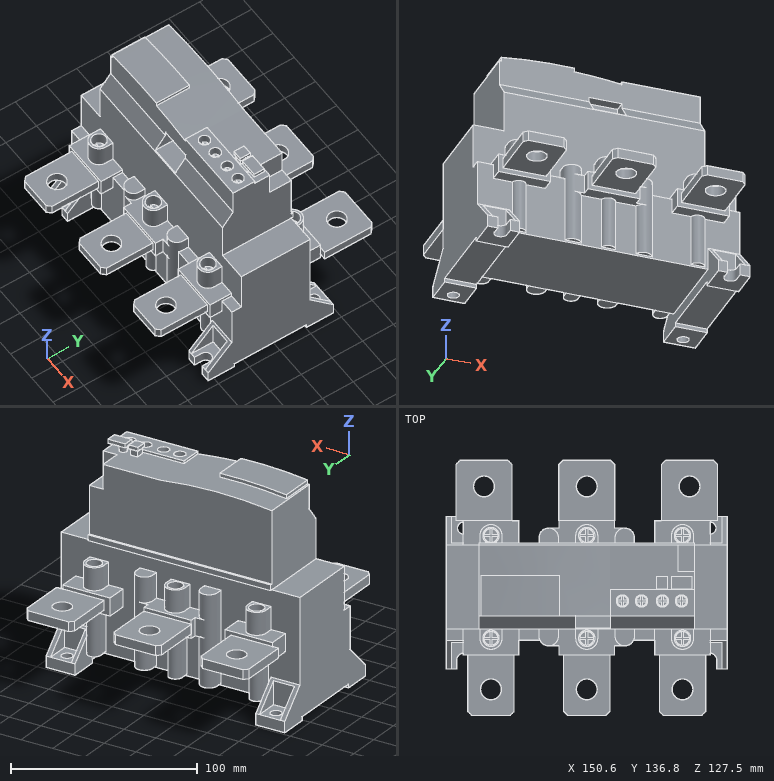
import cadquery as cq
import math


WIDTH = 150.6
DEPTH = 136.8
HEIGHT = 127.55
OVERLAP = 1.0

BACK_WALL_Y = 22.9
FRONT_WALL_Y = -21.9
MID_Y = (BACK_WALL_Y + FRONT_WALL_Y) / 2
STEP_Y = -28.1
STEP_Z = 48.2
SHOULDER_Z = 74.3
CORE_BOTTOM_Z = 9.1

FLANK_WIDTH = 18.3
FOOT_TOP_Z = 6.8
FOOT_SLOPE = 15.35
FOOT_BACK_Y = BACK_WALL_Y + FOOT_SLOPE
FOOT_FRONT_Y = STEP_Y - FOOT_SLOPE
ARCH_BACK_Y = 20.5
ARCH_FRONT_Y = -26.3
ARCH_HEIGHT = 2.3
FOOT_POCKET_WIDTH = 13.1
FOOT_POCKET_INSET = 1.1
FOOT_HOLE_X = 65.9
FOOT_HOLE_Y = 32.0
FOOT_HOLE_RADIUS = 3.2
FOOT_SLOT_Y = -38.6
FOOT_SLOT_RADIUS = 3.6

UPPER_WIDTH = 115.2
DECK_Z = 121.4
BROW_Y = -15.0
SLOPE_BOTTOM_Z = 98.2
SLOPE_TOP_Z = 106.7
BACK_LIP_HEIGHT = 3.4
BACK_LIP_DEPTH = 1.2

COVER_RIGHT_X = 12.7
COVER_RISE = 2.25
PLATE_LEFT_X = -56.5
PLATE_RIGHT_X = -14.5
PLATE_BACK_Y = 6.5
PLATE_THICKNESS = 2.25

RECESS_LEFT_X = -6.1
RECESS_BACK_Y = -8.5
RECESS_BOTTOM_Z = 98.6
RECESS_TOP_Z = 109.4

NOTCH_LEFT_X = 48.9
NOTCH_FRONT_Y = 8.8

STRIP_BACK_Y = -0.9
STRIP_Z = 123.0
STRIP_HOLE_XS = (19.1, 29.3, 40.5, 50.7)
STRIP_HOLE_Y = -7.0
STRIP_HOLE_RADIUS = 3.3
STRIP_SCREW_RADIUS = 2.8
STRIP_HOLE_DEPTH = 8.0

BUTTON_BACK_Y = 6.1
BUTTON_FRONT_Y = -0.5
BUTTON_HEAD_THICKNESS = 2.4
SMALL_BUTTON_LEFT_X = 37.4
SMALL_BUTTON_RIGHT_X = 43.3
SMALL_STEM_INSET = 0.7
LARGE_BUTTON_LEFT_X = 45.4
LARGE_BUTTON_RIGHT_X = 56.4
LARGE_STEM_X = 48.7
LARGE_STEM_RADIUS = 2.25

POLE_PITCH = 51.25
BLOCK_WIDTH = 29.8
BLOCK_REACH = 36.0
BLOCK_BOTTOM_Z = 39.7
BLOCK_TOP_Z = 50.5
LUG_BOTTOM_Z = 42.4
LUG_TOP_Z = 48.2
LUG_CHAMFER = 2.3
LUG_HOLE_RADIUS = 5.5
LUG_HOLE_Y = 54.3
FRONT_LUG_WIDTH = 24.9
BACK_LUG_WIDTH = 30.0
BACK_LUG_PITCH = 55.0
TOWER_OFFSET = 27.5
TOWER_RADIUS = 5.9
TOWER_TOP_Z = 64.2
TOWER_BORE_RADIUS = 4.4
TOWER_BORE_DEPTH = 10.0
POLE_SCREW_RADIUS = 3.7
PIN_RADIUS = 4.1
RIB_BOTTOM_Z = 10.2

SCREW_HEAD_HEIGHT = 3.0
SCREW_SLOT_WIDTH = 1.1
SCREW_SLOT_DEPTH = 1.5

COLUMN_X = 20.35
COLUMN_RADIUS = 5.2
COLUMN_OFFSET = 26.35
FRONT_COLUMN_TOP_Z = 56.1
BACK_COLUMN_TOP_Z = 65.8


def box(x0, x1, y0, y1, z0, z1):
    """Box between two opposite corners."""
    return cq.Workplane("XY").box(x1 - x0, y1 - y0, z1 - z0, centered=False).translate((x0, y0, z0))


def cylinder(x, y, radius, z0, z1):
    """Upright cylinder from z0 to z1."""
    return cq.Workplane("XY").workplane(offset=z0).center(x, y).circle(radius).extrude(z1 - z0)


def side_profile(points, x0, x1):
    """Closed (y, z) outline swept along X from x0 to x1."""
    return cq.Workplane("YZ").polyline(points).close().extrude(x1 - x0).translate((x0, 0, 0))


def wall_column(x, side, offset, radius, z0, z1):
    """Upright half-round column whose flat sides run back into the housing; side is +1 back, -1 front."""
    y = MID_Y + side * offset
    wall_y = MID_Y + side * ((BACK_WALL_Y - FRONT_WALL_Y) / 2 - OVERLAP)
    web = box(x - radius, x + radius, min(y, wall_y), max(y, wall_y), z0, z1)
    return web.union(cylinder(x, y, radius, z0, z1))


def screw_well(x, y, radius, head_radius, depth, top_z):
    """Cutter for a blind bore that leaves a cross-slotted screw head standing on its floor."""
    floor_z = top_z - depth
    head_z = floor_z + SCREW_HEAD_HEIGHT
    head = cylinder(x, y, head_radius, floor_z, head_z)
    half = SCREW_SLOT_WIDTH / 2
    slot_z = head_z - SCREW_SLOT_DEPTH
    head = head.cut(box(x - radius, x + radius, y - half, y + half, slot_z, head_z))
    head = head.cut(box(x - half, x + half, y - radius, y + radius, slot_z, head_z))
    return cylinder(x, y, radius, floor_z, top_z).cut(head)


def make_flank(side):
    """End wall with its two gusseted feet; side is +1 for +X and -1 for -X."""
    outline = [
        (ARCH_BACK_Y, 0),
        (FOOT_BACK_Y, 0),
        (FOOT_BACK_Y, FOOT_TOP_Z),
        (BACK_WALL_Y, FOOT_TOP_Z + FOOT_SLOPE),
        (BACK_WALL_Y, STEP_Z),
        (STEP_Y, STEP_Z),
        (STEP_Y, FOOT_TOP_Z + FOOT_SLOPE),
        (FOOT_FRONT_Y, FOOT_TOP_Z),
        (FOOT_FRONT_Y, 0),
        (ARCH_FRONT_Y, 0),
        (ARCH_FRONT_Y, ARCH_HEIGHT),
        (ARCH_BACK_Y, ARCH_HEIGHT),
    ]
    outer_x = side * WIDTH / 2
    inner_x = outer_x - side * FLANK_WIDTH
    flank = side_profile(outline, min(inner_x, outer_x), max(inner_x, outer_x))

    hole_x = side * FOOT_HOLE_X
    pocket_x0 = hole_x - FOOT_POCKET_WIDTH / 2
    pocket_x1 = hole_x + FOOT_POCKET_WIDTH / 2
    pocket_top_z = FOOT_TOP_Z + FOOT_SLOPE
    flank = flank.cut(
        box(pocket_x0, pocket_x1, BACK_WALL_Y + FOOT_POCKET_INSET, FOOT_BACK_Y, FOOT_TOP_Z, pocket_top_z)
    )
    flank = flank.cut(
        box(pocket_x0, pocket_x1, FOOT_FRONT_Y, STEP_Y - FOOT_POCKET_INSET, FOOT_TOP_Z, pocket_top_z)
    )
    flank = flank.cut(cylinder(hole_x, FOOT_HOLE_Y, FOOT_HOLE_RADIUS, 0, FOOT_TOP_Z))
    flank = flank.cut(cylinder(hole_x, FOOT_SLOT_Y, FOOT_SLOT_RADIUS, 0, FOOT_TOP_Z))
    slot_x0 = hole_x - FOOT_SLOT_RADIUS
    slot_x1 = hole_x + FOOT_SLOT_RADIUS
    return flank.cut(box(slot_x0, slot_x1, FOOT_FRONT_Y, FOOT_SLOT_Y, 0, FOOT_TOP_Z))


def make_lower_housing():
    core_half = WIDTH / 2 - FLANK_WIDTH + OVERLAP
    housing = box(-core_half, core_half, STEP_Y, BACK_WALL_Y, CORE_BOTTOM_Z, STEP_Z)
    housing = housing.union(make_flank(-1)).union(make_flank(1))
    shoulder = box(-WIDTH / 2, WIDTH / 2, FRONT_WALL_Y, BACK_WALL_Y, STEP_Z - OVERLAP, SHOULDER_Z)
    return housing.union(shoulder)


def arc_slab(x0, x1, y0, y1, bottom_z, lift):
    """Slab whose top follows the cover arc, raised by lift, between x0 and x1."""
    half_chord = (COVER_RIGHT_X + UPPER_WIDTH / 2) / 2
    apex_x = COVER_RIGHT_X - half_chord
    radius = (half_chord**2 + COVER_RISE**2) / (2 * COVER_RISE)
    center_z = DECK_Z + COVER_RISE - radius

    def arc_point(x):
        return (x, center_z + math.sqrt(radius**2 - (x - apex_x) ** 2) + lift)

    slab = cq.Workplane("XZ", origin=(0, y1, 0)).moveTo(x0, bottom_z).lineTo(*arc_point(x0))
    slab = slab.threePointArc(arc_point((x0 + x1) / 2), arc_point(x1))
    return slab.lineTo(x1, bottom_z).close().extrude(y1 - y0)


def make_upper_housing():
    half = UPPER_WIDTH / 2
    outline = [
        (BACK_WALL_Y, SHOULDER_Z - OVERLAP),
        (BACK_WALL_Y, DECK_Z),
        (BROW_Y, DECK_Z),
        (BROW_Y, SLOPE_TOP_Z),
        (FRONT_WALL_Y, SLOPE_BOTTOM_Z),
        (FRONT_WALL_Y, SHOULDER_Z - OVERLAP),
    ]
    upper = side_profile(outline, -half, half)
    upper = upper.union(
        box(-half, half, BACK_WALL_Y - OVERLAP, BACK_WALL_Y + BACK_LIP_DEPTH,
            SHOULDER_Z, SHOULDER_Z + BACK_LIP_HEIGHT)
    )
    base_z = DECK_Z - OVERLAP
    upper = upper.union(arc_slab(-half, COVER_RIGHT_X, BROW_Y, BACK_WALL_Y, base_z, 0))
    plate = arc_slab(PLATE_LEFT_X, PLATE_RIGHT_X, BROW_Y, PLATE_BACK_Y, base_z, PLATE_THICKNESS)
    upper = upper.union(plate)
    upper = upper.cut(
        box(RECESS_LEFT_X, COVER_RIGHT_X, FRONT_WALL_Y, RECESS_BACK_Y, RECESS_BOTTOM_Z, RECESS_TOP_Z)
    )
    return upper.cut(box(NOTCH_LEFT_X, half, NOTCH_FRONT_Y, BACK_WALL_Y, SLOPE_TOP_Z, DECK_Z))


def make_terminal_strip():
    return box(COVER_RIGHT_X, UPPER_WIDTH / 2, BROW_Y, STRIP_BACK_Y, DECK_Z - OVERLAP, STRIP_Z)


def make_buttons():
    head_z = HEIGHT - BUTTON_HEAD_THICKNESS
    stem_z = DECK_Z - OVERLAP
    small_head = box(SMALL_BUTTON_LEFT_X, SMALL_BUTTON_RIGHT_X, BUTTON_FRONT_Y, BUTTON_BACK_Y, head_z, HEIGHT)
    small_stem = box(
        SMALL_BUTTON_LEFT_X + SMALL_STEM_INSET, SMALL_BUTTON_RIGHT_X - SMALL_STEM_INSET,
        BUTTON_FRONT_Y + SMALL_STEM_INSET, BUTTON_BACK_Y - SMALL_STEM_INSET, stem_z, head_z,
    )
    large_head = box(LARGE_BUTTON_LEFT_X, LARGE_BUTTON_RIGHT_X, BUTTON_FRONT_Y, BUTTON_BACK_Y, head_z, HEIGHT)
    large_stem = cylinder(
        LARGE_STEM_X, (BUTTON_FRONT_Y + BUTTON_BACK_Y) / 2, LARGE_STEM_RADIUS, stem_z, head_z
    )
    return small_head.union(small_stem).union(large_head.union(large_stem))


def make_lug(x, side, width):
    """Flat lug with chamfered tip corners and a bolt hole, starting at the clamp block face."""
    root_y = side * BLOCK_REACH
    tip_y = side * DEPTH / 2
    lug = box(x - width / 2, x + width / 2, min(root_y, tip_y), max(root_y, tip_y), LUG_BOTTOM_Z, LUG_TOP_Z)
    tip_face = ">Y" if side > 0 else "<Y"
    lug = lug.faces(tip_face).edges("|Z").chamfer(LUG_CHAMFER)
    return lug.cut(cylinder(x, side * LUG_HOLE_Y, LUG_HOLE_RADIUS, LUG_BOTTOM_Z, LUG_TOP_Z))


def make_pole(index):
    """Clamp block with its screw towers, pins and both lugs; index is -1, 0 or 1."""
    x = index * POLE_PITCH
    half = BLOCK_WIDTH / 2
    pole = box(x - half, x + half, -BLOCK_REACH, BLOCK_REACH, BLOCK_BOTTOM_Z, BLOCK_TOP_Z)
    for side in (-1, 1):
        pole = pole.union(wall_column(x, side, TOWER_OFFSET, TOWER_RADIUS, BLOCK_BOTTOM_Z, TOWER_TOP_Z))
        pole = pole.union(wall_column(x, side, TOWER_OFFSET, PIN_RADIUS, RIB_BOTTOM_Z, BLOCK_TOP_Z))
    pole = pole.union(make_lug(x, -1, FRONT_LUG_WIDTH))
    return pole.union(make_lug(index * BACK_LUG_PITCH, 1, BACK_LUG_WIDTH))


def make_columns():
    """Four columns flanking the middle pole, joined to its block by ears flush with their fronts."""
    reach = COLUMN_OFFSET + COLUMN_RADIUS
    columns = box(-COLUMN_X, COLUMN_X, MID_Y - reach, MID_Y + reach, BLOCK_BOTTOM_Z, BLOCK_TOP_Z)
    for x in (-COLUMN_X, COLUMN_X):
        for side, top_z in ((-1, FRONT_COLUMN_TOP_Z), (1, BACK_COLUMN_TOP_Z)):
            columns = columns.union(wall_column(x, side, COLUMN_OFFSET, COLUMN_RADIUS, RIB_BOTTOM_Z, top_z))
    return columns


def cut_screw_wells(body):
    for index in (-1, 0, 1):
        for side in (-1, 1):
            well_y = MID_Y + side * TOWER_OFFSET
            body = body.cut(
                screw_well(index * POLE_PITCH, well_y, TOWER_BORE_RADIUS, POLE_SCREW_RADIUS,
                           TOWER_BORE_DEPTH, TOWER_TOP_Z)
            )
    for x in STRIP_HOLE_XS:
        body = body.cut(
            screw_well(x, STRIP_HOLE_Y, STRIP_HOLE_RADIUS, STRIP_SCREW_RADIUS, STRIP_HOLE_DEPTH, STRIP_Z)
        )
    return body


body = make_lower_housing().union(make_upper_housing())
body = body.union(make_terminal_strip()).union(make_buttons())
for pole_index in (-1, 0, 1):
    body = body.union(make_pole(pole_index))
body = body.union(make_columns())
result = cut_screw_wells(body)